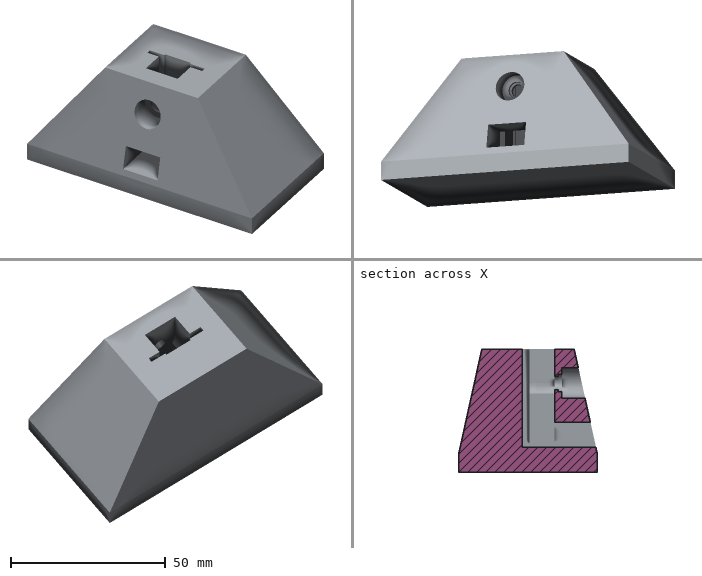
import cadquery as cq

base_length = 85.0
base_width = 45.0
base_height = 6.0
total_height = 39.9
top_length = 35.0
top_width = 30.0

bore_axis_z = 29.0
bore_diameter = 9.8
bore_floor_y = -11.0
middle_bore_diameter = 5.5
middle_bore_depth = 1.0
inner_bore_diameter = 4.2

socket_front_y = -8.6
plate_slot_front_y = -0.5
plate_slot_back_y = 1.1
plate_slot_length = 20.7
socket_diameter = 12.0

shaft_width = bore_diameter
shaft_back_y = 1.7
window_width = 13.0
window_floor_z = 8.25
window_height = 7.9

front_y = -base_width / 2


def box_between(width, front, back, bottom, top):
    """Box centred on X, spanning the given Y and Z limits."""
    block = cq.Workplane("XY").box(width, back - front, top - bottom, centered=(True, False, False))
    return block.translate((0, front, bottom))


def cylinder_along_y(diameter, front, back):
    """Cylinder on the bore axis, spanning the given Y limits."""
    start = cq.Vector(0, front, bore_axis_z)
    return cq.Workplane(cq.Solid.makeCylinder(diameter / 2, back - front, start, cq.Vector(0, 1, 0)))


def make_body():
    slab = cq.Workplane("XY").box(base_length, base_width, base_height, centered=(True, True, False))
    return (
        slab.faces(">Z")
        .workplane()
        .rect(base_length, base_width)
        .workplane(offset=total_height - base_height)
        .rect(top_length, top_width)
        .loft(ruled=True, combine=True)
    )


def make_stepped_bore():
    middle_floor_y = bore_floor_y + middle_bore_depth
    entry = cylinder_along_y(bore_diameter, front_y, bore_floor_y)
    middle = cylinder_along_y(middle_bore_diameter, bore_floor_y, middle_floor_y)
    inner = cylinder_along_y(inner_bore_diameter, middle_floor_y, socket_front_y)
    return entry.union(middle).union(inner)


def make_top_pocket():
    seat = cylinder_along_y(socket_diameter, socket_front_y, plate_slot_front_y)
    throat = box_between(socket_diameter, socket_front_y, plate_slot_front_y, bore_axis_z, total_height)
    plate_slot = box_between(
        plate_slot_length, plate_slot_front_y, plate_slot_back_y, window_floor_z, total_height
    )
    return seat.union(throat).union(plate_slot)


def make_shaft_and_window():
    shaft = box_between(shaft_width, socket_front_y, shaft_back_y, window_floor_z, total_height)
    window = box_between(
        window_width, front_y, socket_front_y, window_floor_z, window_floor_z + window_height
    )
    return shaft.union(window)


result = make_body().cut(make_stepped_bore()).cut(make_top_pocket()).cut(make_shaft_and_window())